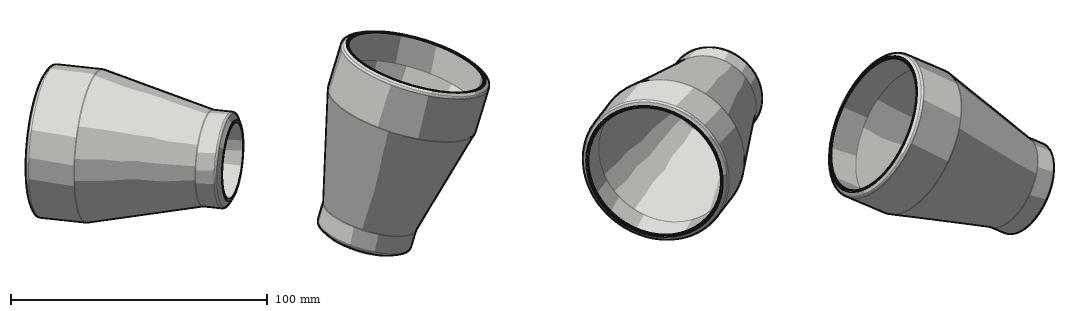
import cadquery as cq
import math

length = 76.0
large_radius = 60.3 / 2
large_bore_radius = 54.5 / 2
small_radius = 38.0 / 2
small_bore_radius = 30.0 / 2

large_collar_length = 20.15
small_collar_length = 9.95
large_bore_chamfer = 0.3
large_bore_length = 12.1
taper_start = large_collar_length
taper_end = length - small_collar_length

land = 1.0
bevel_angle = math.radians(30)
corner_round = 1.15
match_tolerance = 0.01


def bevel_depth(outer_radius, bore_radius):
    """Axial length of the bevel, before its outer corner is rounded."""
    return (outer_radius - bore_radius - land) * math.tan(bevel_angle)


large_bevel_end = bevel_depth(large_radius, large_bore_radius)
small_bevel_start = length - bevel_depth(small_radius, small_bore_radius)

collar_corners = [
    (large_bevel_end, large_radius),
    (taper_start, large_radius),
    (taper_end, small_radius),
    (small_bevel_start, small_radius),
]

half_section = [
    (large_bore_chamfer, large_bore_radius),
    (0, large_bore_radius + large_bore_chamfer),
    (0, large_bore_radius + land),
    *collar_corners,
    (length, small_bore_radius + land),
    (length, small_bore_radius),
    (taper_end, small_bore_radius),
    (large_bore_length, large_bore_radius),
]
reducer = (
    cq.Workplane("XY")
    .polyline(half_section)
    .close()
    .revolve(360, (0, 0, 0), (1, 0, 0))
)


def is_collar_corner(edge):
    """True for the circular edges running around the outer collar corners."""
    if edge.geomType() != "CIRCLE":
        return False
    position = edge.arcCenter().x
    return any(
        abs(position - x) < match_tolerance and abs(edge.radius() - radius) < match_tolerance
        for x, radius in collar_corners
    )


result = reducer.edges().filter(is_collar_corner).fillet(corner_round)